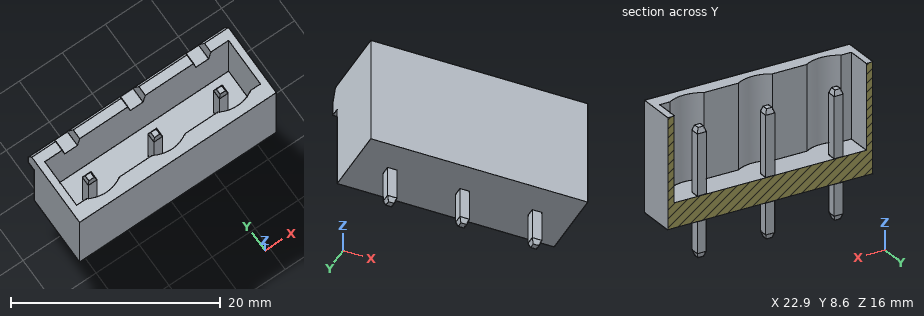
import cadquery as cq

length = 22.85
body_depth = 7.6
body_height = 12.02

lip_overhang = 1.0
lip_height = 2.97
lip_chamfer_depth = 0.62
lip_chamfer_height = 1.5
total_depth = body_depth + lip_overhang

side_wall = 0.75
front_wall = 1.58
back_wall = 1.7
floor_thickness = 2.75
relief_width = 3.82
relief_depth = 0.55

pin_count = 3
pin_pitch = length / pin_count
pin_y = body_depth / 2
pin_width = 1.0
pin_tip_width = 0.62
pin_tip_height = 0.57
pin_tail = 3.98
pin_top_recess = 2.05

notch_top_width = 2.01
notch_bottom_width = 1.49
notch_depth = 1.6

pin_positions = [pin_pitch * (i - (pin_count - 1) / 2) for i in range(pin_count)]


def make_housing():
    profile = [
        (0, 0),
        (body_depth, 0),
        (body_depth, body_height - lip_height),
        (total_depth, body_height - lip_height),
        (total_depth, body_height - lip_chamfer_height),
        (total_depth - lip_chamfer_depth, body_height),
        (0, body_height),
    ]
    return cq.Workplane("YZ").polyline(profile).close().extrude(length / 2, both=True)


def make_cavity():
    half_width = length / 2 - side_wall
    back_y = total_depth - back_wall
    outline = cq.Workplane("XY", origin=(0, 0, floor_thickness))
    outline = outline.moveTo(-half_width, back_y).lineTo(-half_width, front_wall)
    for x in pin_positions:
        outline = outline.lineTo(x - relief_width / 2, front_wall)
        outline = outline.threePointArc(
            (x, front_wall - relief_depth), (x + relief_width / 2, front_wall)
        )
    outline = outline.lineTo(half_width, front_wall).lineTo(half_width, back_y).close()
    return outline.extrude(body_height - floor_thickness)


def make_notch(x):
    bottom_z = body_height - notch_depth
    profile = [
        (x - notch_top_width / 2, body_height),
        (x - notch_bottom_width / 2, bottom_z),
        (x + notch_bottom_width / 2, bottom_z),
        (x + notch_top_width / 2, body_height),
    ]
    plane = cq.Workplane("XZ", origin=(0, total_depth, 0))
    return plane.polyline(profile).close().extrude(back_wall)


def make_pin_tip(x, shank_end_z, direction):
    tip = cq.Workplane("XY", origin=(x, pin_y, shank_end_z)).rect(pin_width, pin_width)
    tip = tip.workplane(offset=direction * pin_tip_height)
    return tip.rect(pin_tip_width, pin_tip_width).loft(ruled=True)


def make_pin(x):
    shank_bottom = pin_tip_height - pin_tail
    shank_top = body_height - pin_top_recess - pin_tip_height
    shank = cq.Workplane("XY", origin=(x, pin_y, shank_bottom)).rect(pin_width, pin_width)
    shank = shank.extrude(shank_top - shank_bottom)
    lower_tip = make_pin_tip(x, shank_bottom, -1)
    upper_tip = make_pin_tip(x, shank_top, 1)
    return shank.union(lower_tip).union(upper_tip)


result = make_housing().cut(make_cavity())
for pin_x in pin_positions:
    result = result.cut(make_notch(pin_x))
    result = result.union(make_pin(pin_x))